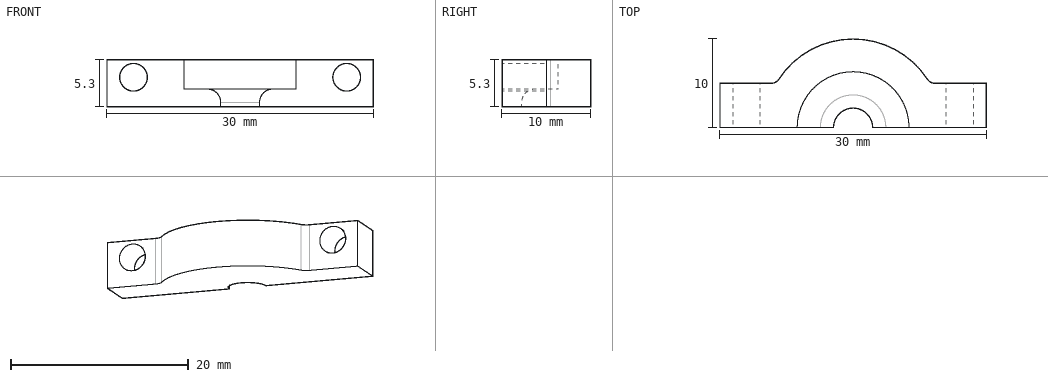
import cadquery as cq

length = 30.0
height = 5.3
flange_depth = 5.0
hub_radius = 10.0
corner_fillet = 1.0

pocket_radius = 6.3
floor_thickness = 2.0
bore_radius = 2.2
bore_lip_radius = 1.5

bolt_diameter = 3.1
bolt_spacing = 24.0
bolt_height = 3.33


def make_body():
    """Flat flange bar joined to a half-round hub, with filleted inner corners."""
    flange = cq.Workplane("XY").box(length, flange_depth, height, centered=(True, False, False))
    half_space = cq.Workplane("XY").box(length, hub_radius, height, centered=(True, False, False))
    hub = cq.Workplane("XY").circle(hub_radius).extrude(height).intersect(half_space)
    body = flange.union(hub)

    corner_x = (hub_radius**2 - flange_depth**2) ** 0.5
    for side in (-1, 1):
        corner = cq.selectors.NearestToPointSelector((side * corner_x, flange_depth, height / 2))
        body = body.edges("|Z").edges(corner).fillet(corner_fillet)
    return body


def make_bore():
    """Revolved cutter: wide pocket above a small bore with a rounded lip."""
    lip_start = floor_thickness - bore_lip_radius
    lip_end = bore_radius + bore_lip_radius
    return (
        cq.Workplane("XZ")
        .lineTo(bore_radius, 0)
        .lineTo(bore_radius, lip_start)
        .radiusArc((lip_end, floor_thickness), bore_lip_radius)
        .lineTo(pocket_radius, floor_thickness)
        .lineTo(pocket_radius, height)
        .lineTo(0, height)
        .close()
        .revolve(360, (0, 0), (0, 1))
    )


def make_bolt_holes():
    """Pair of cylinders spanning the full flange depth."""
    return (
        cq.Workplane("XZ")
        .pushPoints([(-bolt_spacing / 2, bolt_height), (bolt_spacing / 2, bolt_height)])
        .circle(bolt_diameter / 2)
        .extrude(-flange_depth)
    )


result = make_body().cut(make_bore()).cut(make_bolt_holes())